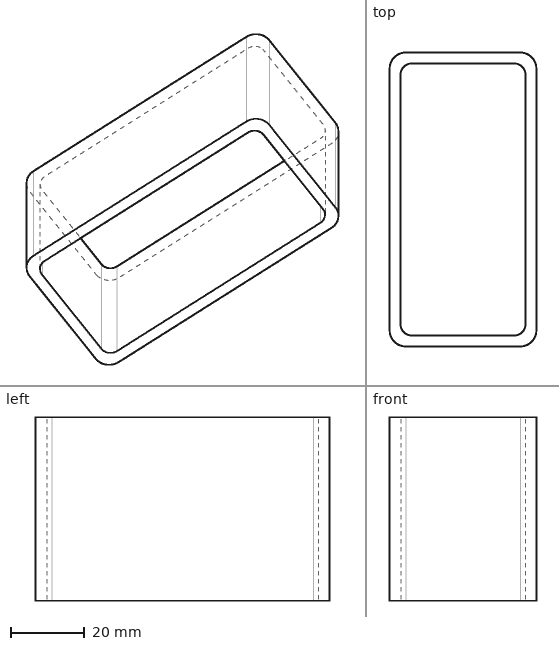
import cadquery as cq

width = 40.0
length = 80.0
height = 50.0
wall = 3.0
outer_radius = 4.5
inner_radius = 3.0


def rounded_block(size_x, size_y, corner_radius):
    """Full-height block with its four upright edges rounded."""
    block = cq.Workplane("XY").rect(size_x, size_y).extrude(height)
    return block.edges("|Z").fillet(corner_radius)


outer_body = rounded_block(width, length, outer_radius)
bore = rounded_block(width - 2 * wall, length - 2 * wall, inner_radius)

result = outer_body.cut(bore)